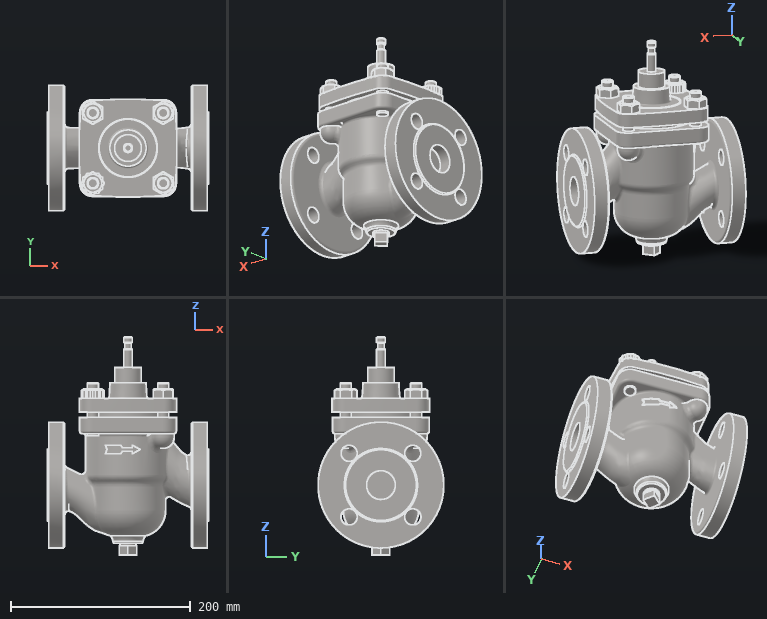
import cadquery as cq
import math

face_to_face = 180.0
face_x = face_to_face / 2
raised_height = 1.82
flange_diameter = 140.0
flange_thickness = 18.0
flange_back_chamfer = 2.0
raised_diameter = 81.5
raised_chamfer = 1.5
port_diameter = 32.0
port_depth = 14.5
bolt_hole_diameter = 18.0
bolt_hole_spacing = 70.7

upper_radius = 47.4
lower_radius = 42.0
shoulder_top = 11.5
shoulder_bottom = -1.5
dome_top = -28.2
dome_corner = 29.1
boss_radius = 17.0
boss_rim = -62.7
boss_bottom = -64.8
boss_taper = 1.2
boss_flare = 2.5
boss_flare_hollow = 1.7
neck_fillet = 3.0
plug_diameter = 18.0
plug_collar_height = 2.5
plug_square = 14.0
plug_bottom = -78.0

body_flange_bottom = 57.0
body_flange_top = 75.3
body_flange_half = 54.0
body_flange_fillet = 3.2
gasket_diameter = 88.0
cover_bottom = 81.0
cover_top = 96.5
cover_half = 54.6
cover_corner = 13.5
groove_outer_diameter = 65.3
groove_inner_diameter = 64.0
groove_depth = 0.7

stud_offset = 39.0
stud_diameter = 12.6
stud_top = 114.0
stud_bottom = 55.0
stud_chamfer = 1.0
nut_across_flats = 22.0
nut_top_diameter = 20.0
nut_height = 10.5
nut_chamfer_height = 1.7
pocket_radius = 12.5
pocket_center_z = 53.2
pocket_fillet = 5.3

gland_base_radius = 22.8
gland_lower_radius = 21.1
gland_middle_radius = 20.2
gland_fillet = 1.7
gland_step = 114.0
gland_diameter = 29.9
gland_top = 131.0
stem_diameter = 10.0
stem_neck_diameter = 7.5
neck_bottom = 150.5
neck_top = 159.0
neck_taper = 1.2
stem_top = 165.0
stem_chamfer = 1.2

inlet_sections = [
    (-70.5, 21.0, -29.5, 23.0),
    (-63.1, 17.2, -29.9, 22.8),
    (-48.5, 9.7, -42.0, 22.8),
    (-34.0, 0.0, -52.0, 22.8),
    (-19.5, -9.7, -55.9, 22.8),
]
outlet_sections = [
    (70.5, 32.5, -25.3, 23.5),
    (64.4, 33.8, -22.8, 22.8),
    (51.5, 46.6, -16.0, 21.9),
    (38.9, 58.3, -8.7, 21.9),
]
flange_root_fillet = 4.0
inlet_fillet = 4.4
outlet_fillet = 3.6
seam_margin = 1.0
pipe_box_half = 36.5

arrow_z = 39.5
arrow_half = 4.9
arrow_shaft_half = 2.2
arrow_tail_x = -25.3
arrow_tail_notch = 2.0
arrow_tail_end_x = -8.3
arrow_shaft_x = -6.3
arrow_head_x = 4.5
arrow_tip_x = 13.5
arrow_relief = 0.7

stud_points = [(sx * stud_offset, sy * stud_offset) for sx in (-1, 1) for sy in (-1, 1)]


def cylinder(diameter, bottom, top):
    return cq.Workplane("XY", origin=(0, 0, bottom)).circle(diameter / 2).extrude(top - bottom)


def make_body():
    """Turned body: upper barrel, S-shaped shoulder, lower barrel, dome and drain boss."""
    mid_radius = (upper_radius + lower_radius) / 2
    mid_z = (shoulder_top + shoulder_bottom) / 2
    dome_foot = lower_radius - dome_corner
    flare_radius = boss_radius + boss_flare
    flare_mid_radius = flare_radius - boss_flare_hollow
    flare_z = dome_top - math.sqrt(dome_corner**2 - (flare_radius - dome_foot) ** 2)
    bend = dome_corner * math.sqrt(0.5)
    flare_mid_z = (flare_z + boss_rim) / 2
    return (
        cq.Workplane("XZ")
        .moveTo(0, body_flange_top)
        .lineTo(upper_radius, body_flange_top)
        .lineTo(upper_radius, shoulder_top)
        .tangentArcPoint((mid_radius, mid_z), relative=False)
        .tangentArcPoint((lower_radius, shoulder_bottom), relative=False)
        .lineTo(lower_radius, dome_top)
        .threePointArc((dome_foot + bend, dome_top - bend), (flare_radius, flare_z))
        .threePointArc((flare_mid_radius, flare_mid_z), (boss_radius, boss_rim))
        .lineTo(boss_radius - boss_taper, boss_bottom)
        .lineTo(0, boss_bottom)
        .close()
        .revolve(360, (0, 0, 0), (0, 1, 0))
    )


def make_neck():
    """Concave ring that blends the barrel into the underside of the body flange."""
    return (
        cq.Workplane("XZ")
        .moveTo(0, body_flange_top)
        .lineTo(upper_radius + neck_fillet, body_flange_top)
        .lineTo(upper_radius + neck_fillet, body_flange_bottom)
        .radiusArc((upper_radius, body_flange_bottom - neck_fillet), -neck_fillet)
        .lineTo(0, body_flange_bottom - neck_fillet)
        .close()
        .revolve(360, (0, 0, 0), (0, 1, 0))
    )


def make_plug():
    collar = cylinder(plug_diameter, boss_bottom - plug_collar_height, boss_bottom)
    head_top = boss_bottom - plug_collar_height
    head = (
        cq.Workplane("XY", origin=(0, 0, plug_bottom))
        .transformed(rotate=(0, 0, 45))
        .rect(plug_square, plug_square)
        .extrude(head_top - plug_bottom)
    )
    return collar.union(head)


def make_pipe(sections):
    """Smooth loft through ellipses that stand square to the X axis."""
    wires = []
    for x, top, bottom, half_width in sections:
        section = cq.Workplane("YZ", origin=(x, 0, (top + bottom) / 2))
        wires.append(section.ellipse(half_width, (top - bottom) / 2).val())
    return cq.Workplane(cq.Solid.makeLoft(wires))


def make_pipe_flange():
    """Inlet flange, facing -X."""
    outer_radius = flange_diameter / 2
    raised_radius = raised_diameter / 2
    front_x = -face_x + raised_height
    back_x = front_x + flange_thickness
    return (
        cq.Workplane("XY")
        .moveTo(-face_x, 0)
        .lineTo(-face_x, raised_radius - raised_chamfer)
        .lineTo(front_x, raised_radius)
        .lineTo(front_x, outer_radius)
        .lineTo(back_x - flange_back_chamfer, outer_radius)
        .lineTo(back_x, outer_radius - flange_back_chamfer)
        .lineTo(back_x, 0)
        .close()
        .revolve(360, (0, 0, 0), (1, 0, 0))
    )


def make_flange_cuts():
    """Bolt holes and blind port of the inlet flange."""
    face = cq.Workplane("YZ", origin=(-face_x, 0, 0))
    holes = (
        face.rect(bolt_hole_spacing, bolt_hole_spacing, forConstruction=True)
        .vertices()
        .circle(bolt_hole_diameter / 2)
        .extrude(raised_height + flange_thickness)
    )
    return holes.union(face.circle(port_diameter / 2).extrude(port_depth))


def make_body_flange():
    return (
        cq.Workplane("XY", origin=(0, 0, body_flange_bottom))
        .rect(2 * body_flange_half, 2 * body_flange_half)
        .extrude(body_flange_top - body_flange_bottom)
        .edges("|Z")
        .fillet(body_flange_half - stud_offset)
        .faces("<Z")
        .edges()
        .fillet(body_flange_fillet)
    )


def make_cover():
    """Plate with four bowed sides and corners rounded about the studs, grooved on top."""
    edge = stud_offset + cover_corner
    corner_mid = stud_offset + cover_corner * math.sqrt(0.5)
    outline = cq.Workplane("XY", origin=(0, 0, cover_bottom)).moveTo(edge, -stud_offset)
    for turn in range(4):
        cos_turn = round(math.cos(turn * math.pi / 2))
        sin_turn = round(math.sin(turn * math.pi / 2))

        def turned(x, y):
            return (x * cos_turn - y * sin_turn, x * sin_turn + y * cos_turn)

        outline = outline.threePointArc(turned(cover_half, 0), turned(edge, stud_offset))
        outline = outline.threePointArc(turned(corner_mid, corner_mid), turned(stud_offset, edge))
    plate = outline.close().extrude(cover_top - cover_bottom)
    groove = (
        cq.Workplane("XY", origin=(0, 0, cover_top))
        .circle(groove_outer_diameter / 2)
        .circle(groove_inner_diameter / 2)
        .extrude(-groove_depth)
    )
    return plate.cut(groove)


def make_gland_and_stem():
    gland_radius = gland_diameter / 2
    stem_radius = stem_diameter / 2
    neck_radius = stem_neck_diameter / 2
    return (
        cq.Workplane("XZ")
        .moveTo(0, cover_top)
        .lineTo(gland_base_radius, cover_top)
        .radiusArc((gland_lower_radius, cover_top + gland_fillet), gland_fillet)
        .lineTo(gland_middle_radius, gland_step)
        .lineTo(gland_radius, gland_step)
        .lineTo(gland_radius, gland_top)
        .lineTo(stem_radius, gland_top)
        .lineTo(stem_radius, neck_bottom)
        .lineTo(neck_radius, neck_bottom + neck_taper)
        .lineTo(neck_radius, neck_top - neck_taper)
        .lineTo(stem_radius, neck_top)
        .lineTo(stem_radius, stem_top - stem_chamfer)
        .lineTo(stem_radius - stem_chamfer, stem_top)
        .lineTo(0, stem_top)
        .close()
        .revolve(360, (0, 0, 0), (0, 1, 0))
    )


def make_stud():
    stud = cylinder(stud_diameter, stud_bottom, stud_top)
    return stud.faces(">Z").chamfer(stud_chamfer)


def make_nut(hexagons):
    """Nut of one hexagon, or of two turned 30 degrees apart for a twelve-point nut."""
    corner_diameter = nut_across_flats / math.cos(math.pi / 6)
    nut = None
    for index in range(hexagons):
        prism = (
            cq.Workplane("XY", origin=(0, 0, cover_top))
            .transformed(rotate=(0, 0, 30 * (index + 1)))
            .polygon(6, corner_diameter)
            .extrude(nut_height)
        )
        nut = prism if nut is None else nut.union(prism)
    corner_radius = corner_diameter / 2
    top_radius = nut_top_diameter / 2
    nut_top = cover_top + nut_height
    crown = (
        cq.Workplane("XZ")
        .moveTo(0, cover_top)
        .lineTo(corner_radius, cover_top)
        .lineTo(corner_radius, nut_top - nut_chamfer_height)
        .lineTo(top_radius, nut_top)
        .lineTo(0, nut_top)
        .close()
        .revolve(360, (0, 0, 0), (0, 1, 0))
    )
    return nut.intersect(crown)


def make_stud_pocket():
    """Round boss with a spherical bottom, hung under the body flange."""
    wall_top = body_flange_bottom + body_flange_fillet
    wall = cylinder(2 * pocket_radius, pocket_center_z, wall_top)
    return wall.union(cq.Workplane("XY", origin=(0, 0, pocket_center_z)).sphere(pocket_radius))


def make_arrow():
    upper = [
        (arrow_tail_x, arrow_half),
        (arrow_tail_end_x, arrow_half),
        (arrow_shaft_x, arrow_shaft_half),
        (arrow_head_x, arrow_shaft_half),
        (arrow_head_x, arrow_half),
    ]
    lower = [(x, -z) for x, z in reversed(upper)]
    outline = upper + [(arrow_tip_x, 0)] + lower + [(arrow_tail_x + arrow_tail_notch, 0)]
    prism = (
        cq.Workplane("XZ", origin=(0, 0, arrow_z))
        .polyline(outline)
        .close()
        .extrude(upper_radius + 2 * arrow_relief)
    )
    skin = cylinder(2 * (upper_radius + arrow_relief), arrow_z - arrow_half, arrow_z + arrow_half)
    return prism.intersect(skin)


def fillet_near(solid, corner, opposite_corner, radius):
    """Round the edges whose midpoints lie in the box between two corners."""
    return solid.edges(cq.selectors.BoxSelector(corner, opposite_corner)).fillet(radius)


def make_casting():
    """Body with its two outlet-side stud bosses and both pipes, all blended together."""
    casting = make_body()
    near = stud_offset - pocket_radius - seam_margin
    far = stud_offset + seam_margin
    for side in (-1, 1):
        casting = casting.union(make_stud_pocket().translate((stud_offset, side * stud_offset, 0)))
        casting = fillet_near(
            casting,
            (near, side * near, pocket_center_z - pocket_radius),
            (far, side * far, body_flange_bottom),
            pocket_fillet,
        )
    casting = casting.union(make_pipe(inlet_sections)).union(make_pipe(outlet_sections))
    casting = fillet_near(
        casting,
        (-upper_radius, -pipe_box_half, boss_rim),
        (-boss_radius, pipe_box_half, shoulder_top),
        inlet_fillet,
    )
    casting = fillet_near(
        casting,
        (lower_radius - dome_corner, -pipe_box_half, dome_top + seam_margin),
        (upper_radius + seam_margin, pipe_box_half, pocket_center_z),
        outlet_fillet,
    )
    return casting


result = make_casting().union(make_neck())
inlet_flange = make_pipe_flange()
root_x = face_x - raised_height - flange_thickness
for side, flange in ((-1, inlet_flange), (1, inlet_flange.mirror("YZ"))):
    result = fillet_near(
        result.union(flange),
        (side * root_x - seam_margin, -pipe_box_half, -pipe_box_half),
        (side * root_x + seam_margin, pipe_box_half, pipe_box_half),
        flange_root_fillet,
    )

result = result.union(make_body_flange()).union(make_plug()).union(make_arrow())
result = result.union(cylinder(gasket_diameter, body_flange_top, cover_bottom))
result = result.union(make_cover()).union(make_gland_and_stem())

for x, y in stud_points:
    is_twelve_point = x < 0 and y < 0
    nut = make_nut(2 if is_twelve_point else 1)
    result = result.union(make_stud().union(nut).translate((x, y, 0)))

flange_cuts = make_flange_cuts()
result = result.cut(flange_cuts).cut(flange_cuts.mirror("YZ"))